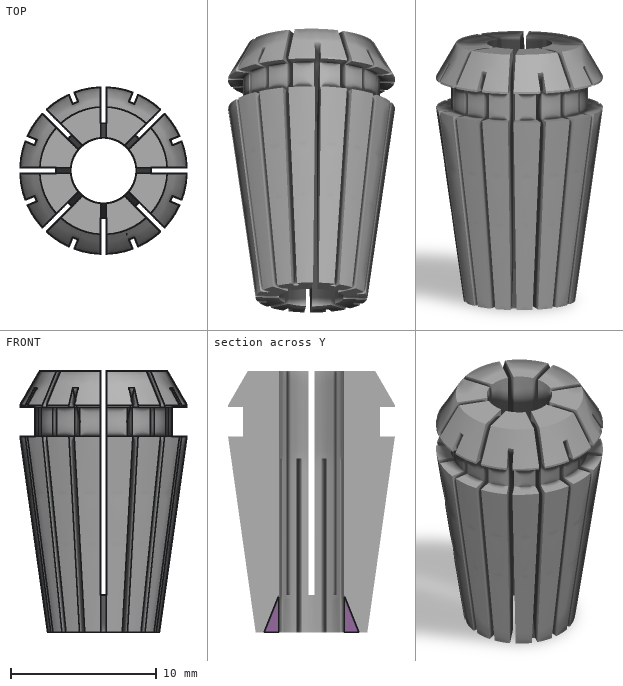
import cadquery as cq
import math

length = 18.0
outer_radius = 5.751
bore_radius = 2.25

body_height = 13.5
body_taper = 8.0
body_bottom_radius = outer_radius - body_height * math.tan(math.radians(body_taper))

neck_radius = 4.73
head_bottom = 15.5
rim_height = 0.15
head_taper = 30.0
rim_top = head_bottom + rim_height
head_top_radius = outer_radius - (length - rim_top) * math.tan(math.radians(head_taper))

slots_per_end = 8
slot_pitch = 360.0 / slots_per_end
slot_width = 0.4
top_slot_end = 2.57
top_slot_bottom_radius = 3.28
bottom_slot_end = 16.83
bottom_slot_floor_angle = 60.0

overshoot = 0.18
cut_radius = outer_radius + overshoot


def make_blank():
    """Revolve the bored collet profile, drawn as radius and height."""
    profile = [
        (bore_radius, 0),
        (body_bottom_radius, 0),
        (outer_radius, body_height),
        (neck_radius, body_height),
        (neck_radius, head_bottom),
        (outer_radius, head_bottom),
        (outer_radius, rim_top),
        (head_top_radius, length),
        (bore_radius, length),
    ]
    return cq.Workplane("XZ").polyline(profile).close().revolve(360, (0, 0), (0, 1))


def cut_slots(body, side_profile, first_angle):
    """Cut one ring of radial slots whose side profile is radius and height."""
    cutter = cq.Workplane("XZ").polyline(side_profile).close().extrude(slot_width / 2, both=True)
    for index in range(slots_per_end):
        angle = first_angle + index * slot_pitch
        body = body.cut(cutter.rotate((0, 0, 0), (0, 0, 1), angle))
    return body


floor_slope = top_slot_end / (top_slot_bottom_radius - bore_radius)
top_slot_profile = [
    (0, top_slot_end),
    (bore_radius, top_slot_end),
    (top_slot_bottom_radius + overshoot / floor_slope, -overshoot),
    (cut_radius, -overshoot),
    (cut_radius, length + overshoot),
    (0, length + overshoot),
]

exit_radius = head_top_radius + (length - bottom_slot_end) * math.tan(math.radians(head_taper))
floor_rise = math.tan(math.radians(bottom_slot_floor_angle))
bottom_slot_bore_end = bottom_slot_end - (exit_radius - bore_radius) * floor_rise
bottom_slot_outer_end = bottom_slot_end + (cut_radius - exit_radius) * floor_rise
bottom_slot_profile = [
    (0, -overshoot),
    (cut_radius, -overshoot),
    (cut_radius, bottom_slot_outer_end),
    (bore_radius, bottom_slot_bore_end),
    (0, bottom_slot_bore_end),
]

result = make_blank()
result = cut_slots(result, top_slot_profile, 0)
result = cut_slots(result, bottom_slot_profile, slot_pitch / 2)